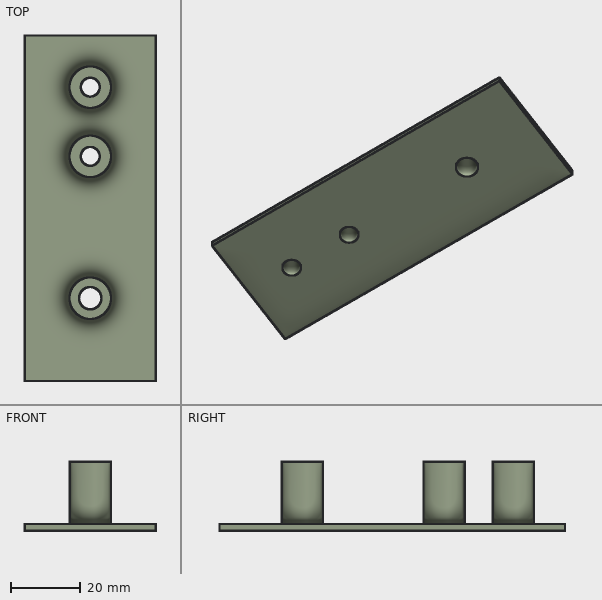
import cadquery as cq

plate_width = 38.0
plate_length = 100.0
plate_thickness = 2.0

total_height = 20.0
standoff_diameter = 12.0
small_bore = 5.4
large_bore = 6.4

standoffs = [
    (35.0, small_bore),
    (15.0, small_bore),
    (-26.0, large_bore),
]


def cylinder(y, diameter):
    """Full-height cylinder standing on Z = 0 at the given Y."""
    return cq.Workplane("XY").center(0, y).circle(diameter / 2).extrude(total_height)


result = cq.Workplane("XY").box(
    plate_width, plate_length, plate_thickness, centered=(True, True, False)
)

for y, bore in standoffs:
    result = result.union(cylinder(y, standoff_diameter))
    result = result.cut(cylinder(y, bore))